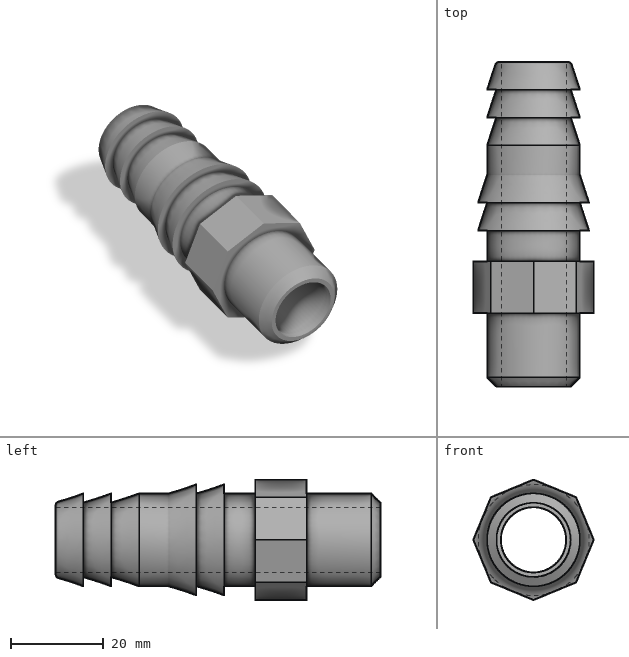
import cadquery as cq

length = 70
bore_radius = 7
body_radius = 10.0
end_chamfer = 2.0

collar_start = 15.9
collar_end = 27.0
collar_corner_diameter = 26.0
collar_sides = 8

large_barb_start = 33.7
large_barb_radius = 12.0
large_barb_tip_radius = body_radius
small_barb_radius = body_radius
small_barb_tip_radius = 8.05
small_barb_count = 3
small_barb_span = 18.0
barb_pitch = small_barb_span / small_barb_count
large_barb_count = 2
tip_fillet = 1.0

small_barb_start = length - small_barb_span


def add_barbs(profile, start, count, base_radius, tip_radius):
    """Extend a (radius, Y) half profile with a row of tapered barbs."""
    for index in range(count):
        base = start + index * barb_pitch
        profile = profile.lineTo(base_radius, base)
        profile = profile.lineTo(tip_radius, base + barb_pitch)
    return profile


def make_body():
    profile = (
        cq.Workplane("XY")
        .moveTo(0, 0)
        .lineTo(body_radius - end_chamfer, 0)
        .lineTo(body_radius, end_chamfer)
        .lineTo(body_radius, large_barb_start)
    )
    profile = add_barbs(
        profile, large_barb_start, large_barb_count, large_barb_radius, large_barb_tip_radius
    )
    profile = add_barbs(
        profile, small_barb_start, small_barb_count, small_barb_radius, small_barb_tip_radius
    )
    body = profile.lineTo(0, length).close().revolve(360, (0, 0, 0), (0, 1, 0))
    return body.faces(">Y").edges().fillet(tip_fillet)


def make_collar():
    return (
        cq.Workplane("XZ", origin=(0, collar_start, 0))
        .polygon(collar_sides, collar_corner_diameter)
        .extrude(collar_start - collar_end)
    )


def make_bore():
    return cq.Workplane("XZ").circle(bore_radius).extrude(-length)


result = make_body().union(make_collar()).cut(make_bore())